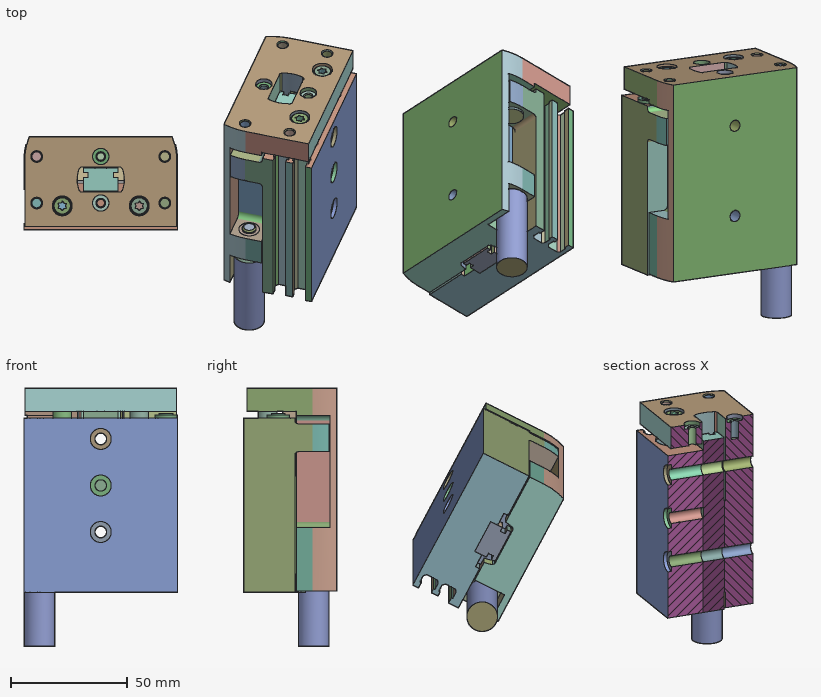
import cadquery as cq
import math


housing_half_width = 32.98
housing_bottom = 23.2
housing_top = 98.0
housing_back = 22.1
recess_half_width = 13.3
recess_floor = 20.2

slot_edges = [(2.8, 8.6), (11.9, 17.3)]
rib_inset = 0.7
slot_lip = 2.7
slot_undercut = 0.7
slot_depth = 6.9
slot_corner = 1.1

mount_heights = [49.1, 69.1, 89.0]
mount_dia = 4.9
mount_bore_dia = 9.0
mount_bore_depth = 1.7
access_heights = [mount_heights[0], mount_heights[-1]]

stop_inner_x = -20
guide_stop_inner_x = 24.4
stop_back = 36.7
stop_bottom = 83.6
stop_top = 95.4
stop_fillet = 1.7
bumper_dia = 10.1
bumper_height = 1.1

plug_x, plug_y = 28.0, 14.9
plug_dia = 9.5
plug_height = 1.3
plug_tip_dia = 6.0
plug_tip_height = 0.7

table_half_width = 32.6
table_front = 1.4
table_rear_front = 22.6
table_back = 40.0
table_bottom = 23.7
total_height = 110.8
plate_bottom = 100.9
side_curve_start = 29.7
side_curve_radius = 28.4

pocket_inner_x = -18.8
guide_pocket_inner_x = 23.3
pocket_back = 37.0
pocket_top = 99.1
bracket_top = 51
bracket_bottom = 39.0
pocket_fillet = 2.2

window_front, window_back = 16.2, 26.9
window_end_half_width = 8.5
window_corner_half_width = 9.3
window_corner_depth = 0.8
window_half_width = 10.1

carriage_half_width = 13.3
carriage_front = 21.1
carriage_bottom, carriage_top = 31, 73.2

rail_half_width = 7.4
rail_front, rail_back = 16.7, 26.5
rail_top = 102.2
rail_notch_depth = 1.9
rail_notch_front, rail_notch_back = 22.4, 24.7

hole_rows = [11.5, 31.5]
corner_hole_x = 27.5
corner_hole_dia = 4.1
corner_hole_depth = 7.8
hole_chamfer = 0.4
center_bore_dia = 7.0
center_bore_depth = 1.9
center_hole_dia = 3.2

piston_x = 16.5
piston_y = 10.3
piston_dia = 8.1
piston_bottom = 77.6
piston_recess_dia = 16.0
piston_recess_depth = 1.1
shank_dia = 5.0
head_dia = 7.6
head_bore_dia = 8.5
head_bottom = 106.4
head_top = 110.1
head_chamfer = 0.3
socket_lobe_radius = 2.0
socket_root_radius = 1.4
socket_depth = 2.8
socket_lobes = 6

absorber_x = -26.3
absorber_y = 30.0
absorber_dia = 13.2
absorber_chamfer = 1.4
absorber_neck_dia = 8.9
absorber_tip_dia = 6.0
absorber_tip = 52.3
absorber_tip_chamfer = 0.7


def block(x0, x1, y0, y1, z0, z1):
    """Box between two opposite corners."""
    return cq.Workplane("XY").box(x1 - x0, y1 - y0, z1 - z0, centered=False).translate((x0, y0, z0))


def cylinder(x, y, dia, z0, z1):
    """Upright cylinder."""
    return cq.Workplane("XY", origin=(x, y, z0)).circle(dia / 2).extrude(z1 - z0)


def cross_hole(z, dia, y0, y1):
    """Cylinder along +Y on the middle plane."""
    return cq.Workplane("XZ", origin=(0, y0, z)).circle(dia / 2).extrude(y0 - y1)


def curved_inset(y):
    """How far the rounded table sides have curved inward at a given Y."""
    rise = y - side_curve_start
    return side_curve_radius - math.sqrt(side_curve_radius**2 - rise**2)


def rounded_body(half_width, y0, y1, z0, z1):
    """Upright body whose two sides curve inward toward the back."""
    y_mid = (side_curve_start + y1) / 2
    x_mid = half_width - curved_inset(y_mid)
    x_end = half_width - curved_inset(y1)
    return (
        cq.Workplane("XY", origin=(0, 0, z0))
        .moveTo(-half_width, y0)
        .lineTo(half_width, y0)
        .lineTo(half_width, side_curve_start)
        .threePointArc((x_mid, y_mid), (x_end, y1))
        .lineTo(-x_end, y1)
        .threePointArc((-x_mid, y_mid), (-half_width, side_curve_start))
        .close()
        .extrude(z1 - z0)
    )


def sensor_slot(y0, y1):
    """T-shaped slot that opens to the -X side between two mouth edges."""
    lip_x = -housing_half_width + slot_lip
    floor_x = -housing_half_width + slot_depth
    neck = block(-housing_half_width, lip_x, y0, y1, housing_bottom, housing_top)
    pocket = block(lip_x, floor_x, y0 - slot_undercut, y1 + slot_undercut, housing_bottom, housing_top)
    return neck.union(pocket.edges("|Z and >X").chamfer(slot_corner))


def stop_block(x0, x1):
    """Stop block between two X positions, rounded like the table side."""
    outline = rounded_body(housing_half_width, housing_back, stop_back, stop_bottom, stop_top)
    return outline.intersect(block(x0, x1, housing_back, stop_back, stop_bottom, stop_top))


def make_housing():
    body = block(-housing_half_width, housing_half_width, 0, housing_back, housing_bottom, housing_top)

    body = body.union(stop_block(-housing_half_width, stop_inner_x))
    body = body.union(stop_block(guide_stop_inner_x, housing_half_width))
    stop_roots = cq.selectors.BoxSelector(
        (-housing_half_width - 1.1, housing_back - 0.1, stop_bottom - 0.1),
        (housing_half_width + 1.1, housing_back + 0.1, stop_top + 0.1),
        boundingbox=False,
    )
    body = body.edges("|X").edges(stop_roots).fillet(stop_fillet)
    body = body.union(cylinder(absorber_x, absorber_y, bumper_dia, stop_bottom - bumper_height, stop_bottom))

    body = body.cut(
        block(-recess_half_width, recess_half_width, recess_floor, housing_back, housing_bottom, housing_top)
    )
    body = body.cut(
        block(-rail_half_width, rail_half_width, rail_front, recess_floor, housing_bottom, housing_top)
    )

    for y0, y1 in slot_edges:
        body = body.cut(sensor_slot(y0, y1))
    rib_x = -housing_half_width + rib_inset
    body = body.cut(
        block(-housing_half_width, rib_x, slot_edges[0][1], slot_edges[1][0], housing_bottom, housing_top)
    )

    for x in (-piston_x, piston_x):
        body = body.cut(cylinder(x, piston_y, piston_dia, piston_bottom, housing_top))
        recess_bottom = housing_top - piston_recess_depth
        body = body.cut(cylinder(x, piston_y, piston_recess_dia, recess_bottom, housing_top))

    for z in mount_heights:
        body = body.cut(cross_hole(z, mount_dia, 0, housing_back))
        body = body.cut(cross_hole(z, mount_bore_dia, 0, mount_bore_depth))

    plug_top = housing_top + plug_height
    body = body.union(cylinder(plug_x, plug_y, plug_dia, housing_top, plug_top))
    return body.union(cylinder(plug_x, plug_y, plug_tip_dia, plug_top, plug_top + plug_tip_height))


def guide_window():
    """Window with bowed ends and cut corners, through the full height of the table."""
    y_mid = (window_front + window_back) / 2
    y0 = window_front + window_corner_depth
    y1 = window_back - window_corner_depth
    return (
        cq.Workplane("XY", origin=(0, 0, table_bottom))
        .moveTo(-window_end_half_width, window_front)
        .lineTo(window_end_half_width, window_front)
        .lineTo(window_corner_half_width, y0)
        .threePointArc((window_half_width, y_mid), (window_corner_half_width, y1))
        .lineTo(window_end_half_width, window_back)
        .lineTo(-window_end_half_width, window_back)
        .lineTo(-window_corner_half_width, y1)
        .threePointArc((-window_half_width, y_mid), (-window_corner_half_width, y0))
        .close()
        .extrude(total_height - table_bottom)
    )


def side_pocket(x0, x1, z0, z1):
    """Pocket in a side of the table, open to the front."""
    return block(x0, x1, table_rear_front, pocket_back, z0, z1)


def chamfered_hole(x, y, dia, z_top, depth):
    """Downward hole with a chamfered mouth."""
    hole = cylinder(x, y, dia, z_top - depth, z_top)
    mouth_radius = dia / 2 + hole_chamfer
    mouth = cq.Workplane(cq.Solid.makeCone(dia / 2, mouth_radius, hole_chamfer)).translate(
        (x, y, z_top - hole_chamfer)
    )
    return hole.union(mouth)


def make_table(rail):
    body = rounded_body(table_half_width, table_rear_front, table_back, table_bottom, plate_bottom)
    body = body.union(rounded_body(table_half_width, table_front, table_back, plate_bottom, total_height))

    stop_pocket = side_pocket(-table_half_width, pocket_inner_x, bracket_top, pocket_top)
    body = body.cut(stop_pocket.edges("|Y and >X").fillet(pocket_fillet))
    guide_pocket = side_pocket(guide_pocket_inner_x, table_half_width, bracket_top, pocket_top)
    body = body.cut(guide_pocket.edges("|Y and <X").fillet(pocket_fillet))
    absorber_pocket = side_pocket(-table_half_width, pocket_inner_x, table_bottom, bracket_bottom)
    body = body.cut(absorber_pocket.edges("|Y and >X and >Z").fillet(pocket_fillet))
    body = body.cut(cylinder(absorber_x, absorber_y, absorber_neck_dia, bracket_bottom, bracket_top))

    body = body.cut(guide_window())
    carriage = block(
        -carriage_half_width, carriage_half_width, carriage_front, window_back, carriage_bottom, carriage_top
    )
    body = body.union(carriage).cut(rail)

    for y in hole_rows:
        for x in (-corner_hole_x, corner_hole_x):
            body = body.cut(chamfered_hole(x, y, corner_hole_dia, total_height, corner_hole_depth))
        bore_floor = total_height - center_bore_depth
        body = body.cut(cylinder(0, y, center_bore_dia, bore_floor, total_height))
        body = body.cut(chamfered_hole(0, y, center_hole_dia, bore_floor, bore_floor - plate_bottom))

    for x in (-piston_x, piston_x):
        body = body.cut(cylinder(x, piston_y, shank_dia, plate_bottom, total_height))
        body = body.cut(cylinder(x, piston_y, head_bore_dia, head_bottom, total_height))

    for z in access_heights:
        body = body.cut(cross_hole(z, mount_dia, carriage_front, table_back))
    return body


def make_rail():
    body = block(-rail_half_width, rail_half_width, rail_front, rail_back, housing_bottom, rail_top)
    notch_root = rail_half_width - rail_notch_depth
    for x0, x1 in ((-rail_half_width, -notch_root), (notch_root, rail_half_width)):
        body = body.cut(block(x0, x1, rail_notch_front, rail_notch_back, housing_bottom, rail_top))
    for z in access_heights:
        body = body.cut(cross_hole(z, mount_dia, rail_front, rail_back))
    return body


def screw_socket(x):
    """Six-lobed drive socket, as a spline through alternating lobe tips and roots."""
    points = []
    for i in range(2 * socket_lobes):
        radius = socket_lobe_radius if i % 2 == 0 else socket_root_radius
        angle = math.pi / 2 + i * math.pi / socket_lobes
        points.append((radius * math.cos(angle), radius * math.sin(angle)))
    return (
        cq.Workplane("XY", origin=(x, piston_y, head_top - socket_depth))
        .spline(points, periodic=True)
        .close()
        .extrude(socket_depth)
    )


def make_piston(x):
    """Piston rod below the end plate, joined to a screw head sunk in the plate."""
    body = cylinder(x, piston_y, piston_dia, piston_bottom, plate_bottom)
    body = body.union(cylinder(x, piston_y, shank_dia, plate_bottom, head_bottom))
    head = cylinder(x, piston_y, head_dia, head_bottom, head_top).faces(">Z").chamfer(head_chamfer)
    return body.union(head).cut(screw_socket(x))


def make_shock_absorber():
    body = cylinder(absorber_x, absorber_y, absorber_dia, 0, bracket_bottom)
    body = body.faces(">Z").chamfer(absorber_chamfer)
    body = body.union(cylinder(absorber_x, absorber_y, absorber_neck_dia, bracket_bottom, bracket_top))
    tip = cylinder(absorber_x, absorber_y, absorber_tip_dia, bracket_top, absorber_tip)
    return body.union(tip.faces(">Z").chamfer(absorber_tip_chamfer))


rail = make_rail()
housing = make_housing()
table = make_table(rail)
shock_absorber = make_shock_absorber()
pistons = [make_piston(x) for x in (-piston_x, piston_x)]

result = cq.Compound.makeCompound(
    [housing.val(), table.val(), rail.val(), shock_absorber.val(), *[piston.val() for piston in pistons]]
)